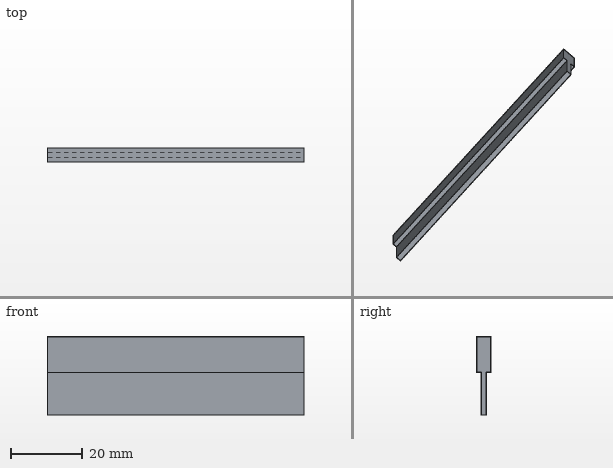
import cadquery as cq

length = 72.0
head_thickness = 4.0
head_height = 10.0
blade_thickness = 1.5
blade_height = 12.0


def centred_bar(thickness, height, base_z):
    """Full-length bar centred on X and Y, standing on the level base_z."""
    return (
        cq.Workplane("XY")
        .workplane(offset=base_z)
        .rect(length, thickness)
        .extrude(height)
    )


blade = centred_bar(blade_thickness, blade_height, 0.0)
head = centred_bar(head_thickness, head_height, blade_height)

result = blade.union(head)